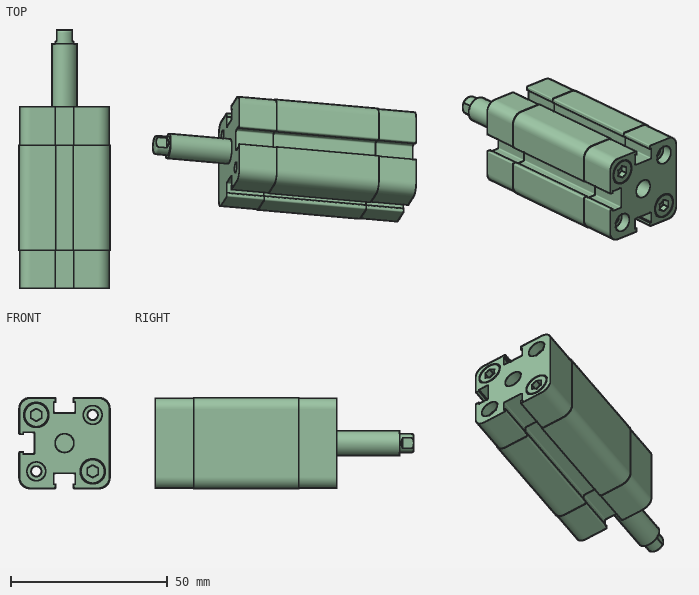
import cadquery as cq
import math


overall_length = 82.5
cap_length = 12.25
body_length = 58.0
tube_length = body_length - 2 * cap_length
tip_length = 4.5
rod_length = overall_length - body_length - tip_length

tube_width = 29.05
cap_width = 28.7
corner_centre = 10.9

slot_angles = (0, 180, -90)
tube_mouth_width = 5.6
tube_slot_width = 6.8
tube_floor_height = 9.65
cap_slot_clearance = 0.1
lip_bottom_height = 13.1
mouth_tangent_offset = 3.25
floor_radius = 0.4

screw_offset = 9.0
mounting_hole_diameter = 3.24
counterbore_diameter = 6.0
counterbore_depth = 3.5
centre_hole_diameter = 6.0
centre_hole_depth = 6.0
screw_recess_diameter = 8.0
screw_head_diameter = 7.5
screw_head_height = 4.0
socket_across_flats = 3.5
socket_depth = 2.25

rod_diameter = 8.0
tip_diameter = 6.0
tip_edge_radius = 0.8
tip_flats_width = 5.0
flat_length = 3.5


def axial_plane(y):
    """Sketch plane across the axis at the given Y; negative extrusions run toward +Y."""
    return cq.Workplane("XZ", origin=(0, y, 0))


def cylinder(diameter, y, length, x=0, z=0):
    return axial_plane(y).center(x, z).circle(diameter / 2).extrude(-length)


def slot_cutter(width, clearance, y, length):
    """Undercut slot in the top face of a section; the clearance sets its walls and floor back."""
    surface = width / 2
    mouth = tube_mouth_width / 2 + clearance
    wall = tube_slot_width / 2 + clearance
    floor = tube_floor_height - clearance
    mouth_radius = mouth_tangent_offset - mouth
    arc_offset = 1 - math.sqrt(0.5)
    mouth_mid = (mouth + mouth_radius * arc_offset, surface - mouth_radius * arc_offset)
    floor_mid = (wall - floor_radius * arc_offset, floor + floor_radius * arc_offset)
    return (
        axial_plane(y)
        .moveTo(0, surface)
        .lineTo(mouth_tangent_offset, surface)
        .threePointArc(mouth_mid, (mouth, surface - mouth_radius))
        .lineTo(mouth, lip_bottom_height)
        .lineTo(wall, lip_bottom_height)
        .lineTo(wall, floor + floor_radius)
        .threePointArc(floor_mid, (wall - floor_radius, floor))
        .lineTo(0, floor)
        .mirrorY()
        .extrude(-length)
    )


def slotted_section(width, clearance, y, length):
    """Rounded square bar with the three sensor slots."""
    section = axial_plane(y).rect(width, width).extrude(-length)
    section = section.edges("|Y").fillet(width / 2 - corner_centre)
    cutter = slot_cutter(width, clearance, y, length)
    for angle in slot_angles:
        section = section.cut(cutter.rotate((0, 0, 0), (0, 1, 0), angle))
    return section


def rod():
    """Piston rod with a rounded tip carrying two wrench flats."""
    tip_start = body_length + rod_length
    tip_radius = tip_diameter / 2
    shaft = cylinder(rod_diameter, body_length, rod_length)
    tip = cylinder(tip_diameter, tip_start, tip_length)
    tip = tip.faces(">Y").edges().fillet(tip_edge_radius)
    flat_half = tip_flats_width / 2
    runout = tip_radius - flat_half
    flat_end = overall_length - flat_length
    for side in (-1, 1):
        flat = (
            cq.Workplane("XY")
            .moveTo(side * flat_half, overall_length)
            .lineTo(side * flat_half, flat_end)
            .lineTo(side * tip_radius, flat_end - runout)
            .lineTo(side * tip_radius, overall_length)
            .close()
            .extrude(tip_radius, both=True)
        )
        tip = tip.cut(flat)
    return shaft.union(tip)


def screw_gap(x, z):
    """Ring gap around a flush screw head, together with its hex socket."""
    recess = cylinder(screw_recess_diameter, 0, screw_head_height, x, z)
    head = cylinder(screw_head_diameter, 0, screw_head_height, x, z)
    across_corners = socket_across_flats / math.cos(math.pi / 6)
    socket = (
        axial_plane(0)
        .center(x, z)
        .transformed(rotate=(0, 0, 90))
        .polygon(6, across_corners)
        .extrude(-socket_depth)
    )
    return recess.cut(head).union(socket)


def mounting_hole(x, z):
    """Counterbored hole through the whole body."""
    bore = cylinder(mounting_hole_diameter, 0, body_length, x, z)
    return bore.union(cylinder(counterbore_diameter, 0, counterbore_depth, x, z))


rear_cap = slotted_section(cap_width, cap_slot_clearance, 0, cap_length)
tube = slotted_section(tube_width, 0, cap_length, tube_length)
front_cap = slotted_section(cap_width, cap_slot_clearance, cap_length + tube_length, cap_length)
result = rear_cap.union(tube).union(front_cap).union(rod())

result = result.cut(cylinder(centre_hole_diameter, 0, centre_hole_depth))
for side in (-1, 1):
    result = result.cut(mounting_hole(side * screw_offset, side * screw_offset))
    result = result.cut(screw_gap(side * screw_offset, -side * screw_offset))